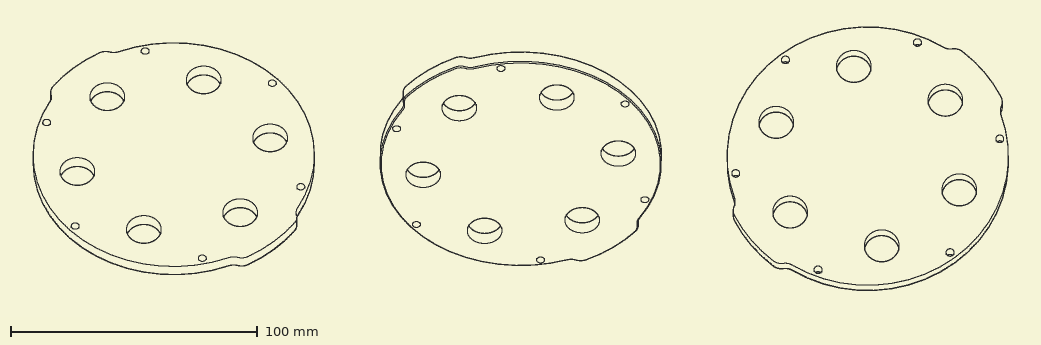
import cadquery as cq
import math

thickness = 6.0
body_radius = 57.0
lug_radius = 60.0
bottom_chamfer = 0.5

blend_radius = 5.0
blend_angle = 15.8

hole_count = 6
large_hole_diameter = 14.0
large_hole_ring_radius = 40.0
small_hole_diameter = 3.2
small_hole_ring_radius = 54.0
small_hole_start_angle = 30.0


def polar(radius, angle):
    """Point at the given radius and angle in degrees."""
    return (radius * math.cos(math.radians(angle)), radius * math.sin(math.radians(angle)))


def mirror_x(point):
    return (-point[0], point[1])


def mirror_y(point):
    return (point[0], -point[1])


def toward(start, end, distance):
    """Point at a distance from start along the line to end."""
    ratio = distance / math.dist(start, end)
    return tuple(a + ratio * (b - a) for a, b in zip(start, end))


def blend_arcs():
    """Two three-point arcs from the right lug up to the body, as start, middle, end."""
    convex_centre_radius = lug_radius - blend_radius
    concave_centre_radius = body_radius + blend_radius
    centre_distance = 2 * blend_radius
    half_spread = math.degrees(math.acos(
        (convex_centre_radius**2 + concave_centre_radius**2 - centre_distance**2)
        / (2 * convex_centre_radius * concave_centre_radius)
    )) / 2
    lug_angle = blend_angle - half_spread
    body_angle = blend_angle + half_spread
    convex_centre = polar(convex_centre_radius, lug_angle)
    concave_centre = polar(concave_centre_radius, body_angle)

    lug_end = polar(lug_radius, lug_angle)
    body_end = polar(body_radius, body_angle)
    joint = toward(convex_centre, concave_centre, blend_radius)

    def arc_middle(centre, start, end):
        chord_middle = ((start[0] + end[0]) / 2, (start[1] + end[1]) / 2)
        return toward(centre, chord_middle, blend_radius)

    convex = (lug_end, arc_middle(convex_centre, lug_end, joint), joint)
    concave = (joint, arc_middle(concave_centre, joint, body_end), body_end)
    return convex, concave


def make_plate():
    (lug_end, convex_middle, joint), (_, concave_middle, body_end) = blend_arcs()
    blend = [lug_end, convex_middle, joint, concave_middle, body_end]
    upper_left = [mirror_x(p) for p in reversed(blend)]
    lower_left = [mirror_y(mirror_x(p)) for p in blend]
    lower_right = [mirror_y(p) for p in reversed(blend)]

    outline = cq.Workplane("XY").moveTo(*lug_end)
    sections = [
        (blend, (0, body_radius), upper_left),
        (upper_left, (-lug_radius, 0), lower_left),
        (lower_left, (0, -body_radius), lower_right),
        (lower_right, (lug_radius, 0), blend),
    ]
    for corner, arc_middle, next_corner in sections:
        outline = outline.threePointArc(corner[1], corner[2])
        outline = outline.threePointArc(corner[3], corner[4])
        outline = outline.threePointArc(arc_middle, next_corner[0])
    plate = outline.close().extrude(thickness)
    return plate.faces("<Z").edges().chamfer(bottom_chamfer)


def hole_ring(diameter, ring_radius, start_angle):
    """Cylinders for a ring of through holes."""
    return (
        cq.Workplane("XY")
        .polarArray(ring_radius, start_angle, 360, hole_count)
        .circle(diameter / 2)
        .extrude(thickness)
    )


result = (
    make_plate()
    .cut(hole_ring(large_hole_diameter, large_hole_ring_radius, 0))
    .cut(hole_ring(small_hole_diameter, small_hole_ring_radius, small_hole_start_angle))
)